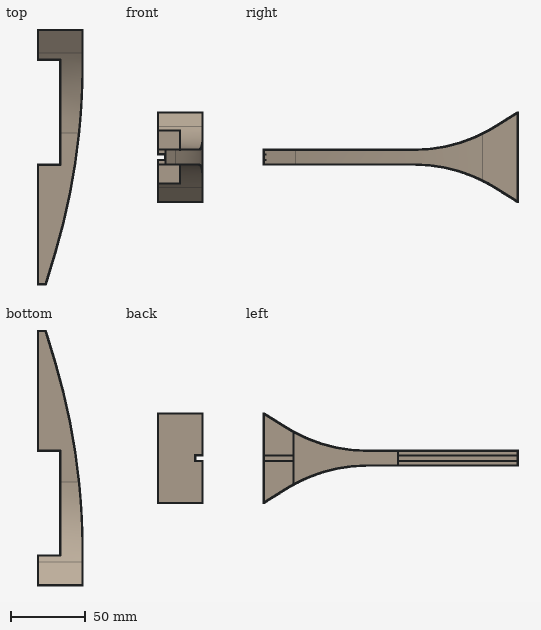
import cadquery as cq
import math

length = 170.0
width = 30.0
height = 60.0
half_height = height / 2

blade_thickness = 10.0
half_blade = blade_thickness / 2
flare_radius = 101.2
flare_start = -69.0

back_arc_start = -23.8
back_arc_end = -148.8
back_arc_end_width = 11.7
tip_width = 5.3

notch_depth = width / 2
notch_top = -20.0
notch_bottom = -90.0
slot_depth = 5.0
slot_height = 3.5

centre_z = half_blade + flare_radius
corner_rise = centre_z - half_height
corner_distance = math.hypot(flare_start, corner_rise)
corner_angle = math.atan2(-flare_start, corner_rise)
flare_angle = corner_angle - math.acos(flare_radius / corner_distance)


def flare_point(angle):
    """Y and Z on the upper flare arc at an angle measured from the blade."""
    y = flare_start + flare_radius * math.sin(angle)
    z = centre_z - flare_radius * math.cos(angle)
    return y, z


def mirrored(point):
    return point[0], -point[1]


def flared_body():
    flare_middle = flare_point(flare_angle / 2)
    flare_end = flare_point(flare_angle)
    return (
        cq.Workplane("YZ")
        .moveTo(-length, half_blade)
        .lineTo(flare_start, half_blade)
        .threePointArc(flare_middle, flare_end)
        .lineTo(0, half_height)
        .lineTo(0, -half_height)
        .lineTo(*mirrored(flare_end))
        .threePointArc(mirrored(flare_middle), (flare_start, -half_blade))
        .lineTo(-length, -half_blade)
        .close()
        .extrude(width)
    )


def side_profile():
    """Solid of the X-Y outline with the curved back and the notch, at full height."""
    arc_run = back_arc_start - back_arc_end
    arc_drop = width - back_arc_end_width
    radius = (arc_run**2 + arc_drop**2) / (2 * arc_drop)
    half_angle = math.asin(arc_run / radius) / 2
    arc_middle = (
        width - radius * (1 - math.cos(half_angle)),
        back_arc_start - radius * math.sin(half_angle),
    )
    return (
        cq.Workplane("XY")
        .moveTo(0, 0)
        .lineTo(width, 0)
        .lineTo(width, back_arc_start)
        .threePointArc(arc_middle, (back_arc_end_width, back_arc_end))
        .lineTo(tip_width, -length)
        .lineTo(0, -length)
        .lineTo(0, notch_bottom)
        .lineTo(notch_depth, notch_bottom)
        .lineTo(notch_depth, notch_top)
        .lineTo(0, notch_top)
        .close()
        .extrude(half_height, both=True)
    )


def side_slot():
    """Straight slot along the flat side, open at both ends."""
    return (
        cq.Workplane("XY")
        .box(slot_depth, length, slot_height, centered=(False, False, True))
        .translate((0, -length, 0))
    )


result = flared_body().intersect(side_profile()).cut(side_slot())